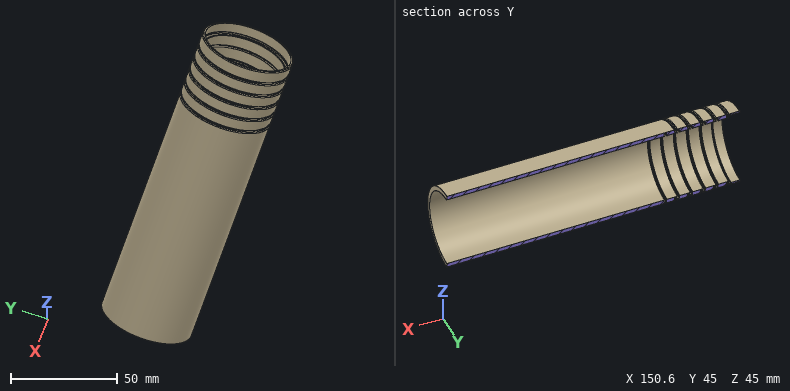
import cadquery as cq

length = 150.6
outer_diameter = 45.0
bore_diameter = 40.0

ring_count = 5
ring_pitch = 6.6
slit_floor_diameter = 41.9
slit_width = 0.8
edge_chamfer = 0.5

socket_diameter = 42.5
socket_depth = 5.7
undercut_diameter = 43.1
undercut_width = 0.9
bore_chamfer = 0.3


def cylinder(diameter, start, end):
    """Solid cylinder on the X axis from start to end."""
    return cq.Workplane("YZ").workplane(offset=start).circle(diameter / 2).extrude(end - start)


def revolved(points):
    """Solid of revolution about X of a closed (x, radius) outline."""
    return cq.Workplane("XY").polyline(points).close().revolve(360, (0, 0, 0), (1, 0, 0))


def tube_blank():
    """Outer cylinder with its rim chamfered at x = 0."""
    outer_radius = outer_diameter / 2
    return revolved([
        (0, 0),
        (0, outer_radius - edge_chamfer),
        (edge_chamfer, outer_radius),
        (length, outer_radius),
        (length, 0),
    ])


def outer_slit(center):
    """Ring-shaped cutter for one outer slit and its chamfered lips."""
    outer_radius = outer_diameter / 2
    floor_radius = slit_floor_diameter / 2
    half_width = slit_width / 2
    half_opening = half_width + edge_chamfer
    return revolved([
        (center - half_width, floor_radius),
        (center + half_width, floor_radius),
        (center + half_width, outer_radius - edge_chamfer),
        (center + half_opening, outer_radius),
        (center - half_opening, outer_radius),
        (center - half_width, outer_radius - edge_chamfer),
    ])


def undercut(shoulder):
    """Disc cutter for the undercut that ends at a shoulder."""
    return cylinder(undercut_diameter, shoulder - undercut_width, shoulder)


def chamfer_cone(start, start_diameter, end, end_diameter):
    """Solid cone frustum on the X axis."""
    return revolved([(start, 0), (start, start_diameter / 2), (end, end_diameter / 2), (end, 0)])


tube = tube_blank().cut(cylinder(bore_diameter, 0, length))

chamfer_diameter = bore_diameter + 2 * bore_chamfer
tube = tube.cut(cylinder(socket_diameter, 0, socket_depth))
tube = tube.cut(undercut(socket_depth))
tube = tube.cut(chamfer_cone(socket_depth, chamfer_diameter, socket_depth + bore_chamfer, bore_diameter))

for ring in range(1, ring_count + 1):
    ring_end = ring * ring_pitch
    shoulder = ring_end + socket_depth
    near_edge = shoulder - undercut_width
    tube = tube.cut(outer_slit(ring_end))
    tube = tube.cut(undercut(shoulder))
    tube = tube.cut(chamfer_cone(near_edge - bore_chamfer, bore_diameter, near_edge, chamfer_diameter))

result = tube